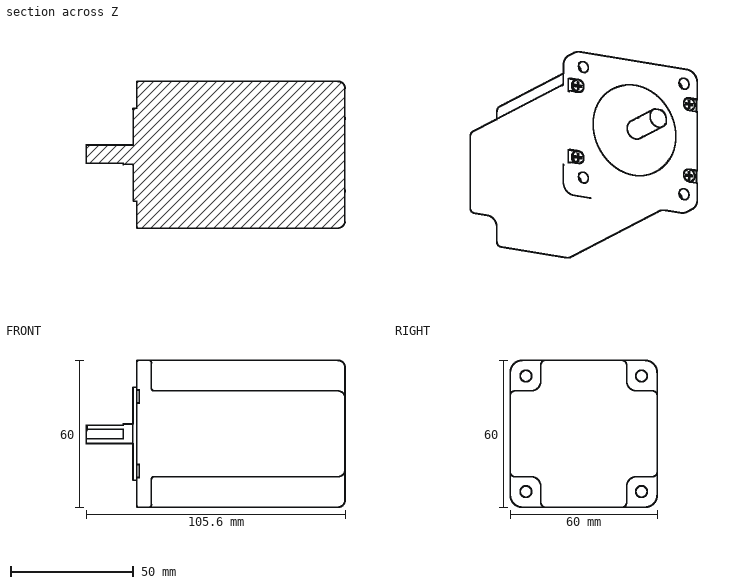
import cadquery as cq

width = 60.0
half = width / 2
body_end = 85.0

flange_thickness = 6.0
flange_corner_radius = 5.0
flange_edge_radius = 0.5
ear_radius = 1.0
mount_pitch = 47.14
mount_hole_diameter = 4.6

notch_depth = 12.5
notch_root_radius = 4.0
body_edge_radius = 2.0
rear_radius = 3.0
notch_wall = half - notch_depth

pilot_diameter = 38.1
pilot_height = 1.6
pilot_edge_radius = 0.5
shaft_diameter = 8.0
shaft_tip = -20.6
flat_length = 15.0
flat_distance = 3.5
tip_chamfer = 0.45

screw_y = 26.0
screw_z = 15.2
slot_width = 5.4
slot_depth = 1.0
head_diameter = 5.1
head_height = slot_depth
cross_span = 3.2
cross_width = 0.65
cross_depth = 0.8

tolerance = 1e-4


def box(x_range, y_range, z_range):
    """Axis-aligned box given by its limits along X, Y and Z."""
    ranges = (x_range, y_range, z_range)
    sizes = [high - low for low, high in ranges]
    corner = tuple(low for low, high in ranges)
    return cq.Workplane("XY").box(*sizes, centered=False).translate(corner)


def cylinder(diameter, x_start, x_end, y=0.0, z=0.0):
    """Cylinder along X."""
    plane = cq.Workplane("YZ", origin=(x_start, y, z))
    return plane.circle(diameter / 2).extrude(x_end - x_start)


def at_four_corners(tool):
    """The tool together with its mirror images in Y and in Z."""
    pair = tool.union(tool.mirror("XZ"))
    return pair.union(pair.mirror("XY"))


def near(value, target):
    return abs(value - target) < tolerance


def on_outer_face(edge):
    """True for an edge lying in one of the four flat outer sides."""
    center = edge.Center()
    return near(abs(center.y), half) or near(abs(center.z), half)


def notched_block():
    """Square block with a full-thickness flange and four notches running to the rear."""
    flange = box((0, flange_thickness), (-half, half), (-half, half))
    flange = flange.edges("|X").fillet(flange_corner_radius)
    notch = box((flange_thickness, body_end), (notch_wall, half), (notch_wall, half))
    notch = notch.edges("|X and <Y and <Z").fillet(notch_root_radius)
    body = box((flange_thickness, body_end), (-half, half), (-half, half))
    return flange.union(body.cut(at_four_corners(notch)))


def fillet_ear_roots(block):
    """Fillet the inside edges where the notch walls meet the backs of the ears.

    The edges in the ear back plane also include the outer rim, which is left out.
    """
    at_ear_back = cq.selectors.BoxSelector(
        (flange_thickness - tolerance, -half, -half),
        (flange_thickness + tolerance, half, half),
    )
    roots = block.edges(at_ear_back).filter(lambda edge: not on_outer_face(edge))
    inner_limit = half - flange_corner_radius
    roots = roots.filter(
        lambda edge: min(abs(edge.Center().y), abs(edge.Center().z)) < inner_limit
    )
    return block.newObject(roots.vals()).fillet(ear_radius)


def round_notch_rims(block):
    """Round the outer rim of each notch.

    A rim runs forward along one body edge, around the back of the ear and rearward
    along the other body edge. The bends at both ends of the ear blend the two radii.
    """
    rounding = cq.occ_impl.shapes.BRepFilletAPI_MakeFillet(block.val().wrapped)
    for edge in block.edges("|X").filter(on_outer_face).vals():
        is_body_edge = edge.Center().x > flange_thickness
        if is_body_edge and rounding.Contour(edge.wrapped) == 0:
            rounding.Add(edge.wrapped)
    for rim in range(1, rounding.NbContours() + 1):
        last = rounding.NbEdges(rim)
        for position in range(1, last + 1):
            rounding.SetRadius(ear_radius, rim, position)
        rounding.SetRadius(body_edge_radius, rim, 1)
        rounding.SetRadius(body_edge_radius, ear_radius, rim, 2)
        rounding.SetRadius(ear_radius, body_edge_radius, rim, last - 1)
        rounding.SetRadius(body_edge_radius, rim, last)
    rounded = cq.Shape.cast(rounding.Shape())
    return block.newObject(rounded.Solids())


def housing():
    """Flange and body in one piece, with all outer edges rounded."""
    block = round_notch_rims(fillet_ear_roots(notched_block()))
    block = block.faces(">X").edges().fillet(rear_radius)
    return block.faces("<X").edges().fillet(flange_edge_radius)


def pilot():
    """Round centring boss on the flange front."""
    boss = cylinder(pilot_diameter, -pilot_height, flange_thickness)
    return boss.faces("<X").edges().fillet(pilot_edge_radius)


def shaft():
    """Round shaft with -Y and +Z flats at the tip and a chamfered corner between them."""
    bar = cylinder(shaft_diameter, shaft_tip, flange_thickness)
    flat_range = (shaft_tip, shaft_tip + flat_length)
    full_range = (-shaft_diameter, shaft_diameter)
    side_flat = box(flat_range, (-shaft_diameter, -flat_distance), full_range)
    top_flat = box(flat_range, full_range, (flat_distance, shaft_diameter))
    bar = bar.cut(side_flat).cut(top_flat)
    corner_between_flats = (shaft_tip, -shaft_diameter, shaft_diameter)
    nearest_to_corner = cq.selectors.NearestToPointSelector(corner_between_flats)
    tip_arc = bar.faces("<X").edges("%CIRCLE").edges(nearest_to_corner)
    return tip_arc.chamfer(tip_chamfer)


def mounting_hole():
    """Hole through the flange ear at +Y and +Z."""
    offset = mount_pitch / 2
    return cylinder(mount_hole_diameter, 0, flange_thickness, offset, offset)


def screw_slot():
    """Round-ended slot in the flange front, open to the +Y side."""
    slot_end = cylinder(slot_width, 0, slot_depth, screw_y, screw_z)
    z_range = (screw_z - slot_width / 2, screw_z + slot_width / 2)
    return slot_end.union(box((0, slot_depth), (screw_y, half), z_range))


def screw_head():
    """Flat screw head standing on the slot floor, with a cross recess."""
    top = slot_depth - head_height
    head = cylinder(head_diameter, top, slot_depth, screw_y, screw_z)
    recess = (
        cq.Workplane("YZ", origin=(top, screw_y, screw_z))
        .rect(cross_span, cross_width)
        .extrude(cross_depth)
    )
    axis_start = (top, screw_y, screw_z)
    axis_end = (slot_depth, screw_y, screw_z)
    return head.cut(recess).cut(recess.rotate(axis_start, axis_end, 90))


result = (
    housing()
    .cut(at_four_corners(mounting_hole()))
    .cut(at_four_corners(screw_slot()))
    .union(at_four_corners(screw_head()))
    .union(pilot())
    .union(shaft())
)